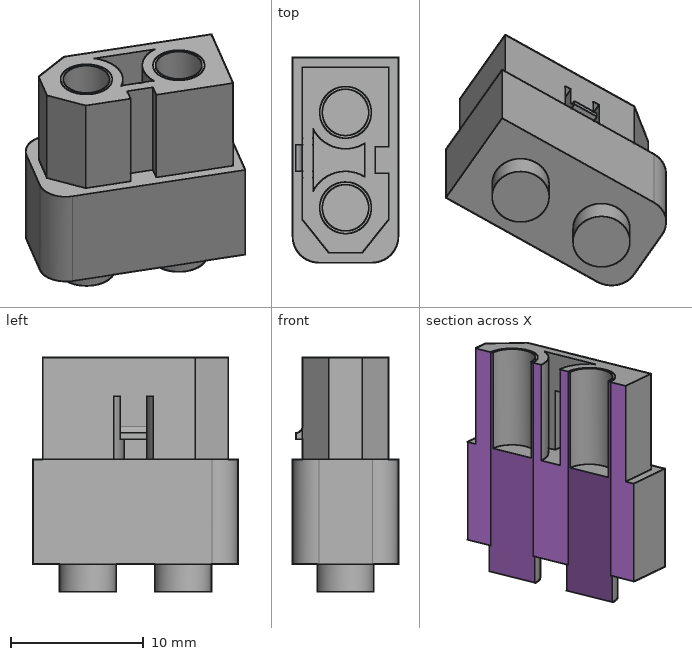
import cadquery as cq


base_width = 8.0
base_length = 15.5
base_height = 7.9
base_corner_radius = 2.0

plug_end_margin = 0.75
plug_width = 6.5
plug_length = base_length - 2 * plug_end_margin
plug_height = 7.7
nose_chamfer_x = 2.0
nose_chamfer_y = 2.5
keyway_depth = 1.0
keyway_width = 2.0

contact_pitch = 7.2
sleeve_diameter = 3.9
bore_diameter = 3.5
bore_depth = plug_height
tail_diameter = 4.3
tail_length = 2.1

wall = 0.8
contact_boss_radius = sleeve_diameter / 2 + wall
plug_left = -plug_width / 2
plug_right = plug_width / 2
pocket_left = plug_left + wall
pocket_right = plug_right - keyway_depth - wall

latch_center_y = 0.15
latch_width = 2.0
latch_slot_width = 0.5
window_width = latch_width + 2 * latch_slot_width
window_height = 4.75
latch_bottom = 1.5
barb_reach = 0.5
barb_lip_height = 0.5

contact_positions = [(0, -contact_pitch / 2), (0, contact_pitch / 2)]


def make_base():
    """Block with its two -Y vertical edges rounded."""
    block = cq.Workplane("XY").box(base_width, base_length, base_height, centered=(True, True, False))
    block = block.translate((0, 0, -base_height))
    return block.edges("|Z and <Y").fillet(base_corner_radius)


def make_plug():
    """Plug with a tapered -Y nose and a keyway along its +X side."""
    front = -plug_length / 2
    back = plug_length / 2
    plug = (
        cq.Workplane("XY")
        .moveTo(plug_left, back)
        .lineTo(plug_left, front + nose_chamfer_y)
        .lineTo(plug_left + nose_chamfer_x, front)
        .lineTo(plug_right - nose_chamfer_x, front)
        .lineTo(plug_right, front + nose_chamfer_y)
        .lineTo(plug_right, back)
        .close()
        .extrude(plug_height)
    )
    keyway = (
        cq.Workplane("XY")
        .center(plug_right - keyway_depth / 2, 0)
        .rect(keyway_depth, keyway_width)
        .extrude(plug_height)
    )
    return plug.cut(keyway)


def make_pocket():
    """Space between the contacts, bounded by a round boss about each one."""
    slab = (
        cq.Workplane("XY")
        .center((pocket_left + pocket_right) / 2, 0)
        .rect(pocket_right - pocket_left, contact_pitch)
        .extrude(plug_height)
    )
    bosses = cq.Workplane("XY").pushPoints(contact_positions).circle(contact_boss_radius).extrude(plug_height)
    return slab.cut(bosses)


def make_latch_window():
    """Opening through the -X wall into the pocket."""
    return (
        cq.Workplane("XY")
        .center(plug_left + wall / 2, latch_center_y)
        .rect(wall, window_width)
        .extrude(window_height)
    )


def make_latch():
    """Tongue as thick as the wall, with a barb whose upper side is a concave quarter round."""
    barb_tip = plug_left - barb_reach
    lip_top = latch_bottom + barb_lip_height
    barb_top = lip_top + barb_reach
    return (
        cq.Workplane("XZ", origin=(0, latch_center_y, 0))
        .moveTo(pocket_left, latch_bottom)
        .lineTo(barb_tip, latch_bottom)
        .lineTo(barb_tip, lip_top)
        .radiusArc((plug_left, barb_top), -barb_reach)
        .lineTo(plug_left, window_height)
        .lineTo(pocket_left, window_height)
        .close()
        .extrude(latch_width / 2, both=True)
    )


def make_housing():
    """Base, plug and latch as one solid, with a through hole for each contact."""
    contact_holes = (
        cq.Workplane("XY", origin=(0, 0, -base_height))
        .pushPoints(contact_positions)
        .circle(sleeve_diameter / 2)
        .extrude(base_height + plug_height)
    )
    plug = make_plug().cut(make_pocket()).cut(make_latch_window()).union(make_latch())
    return make_base().union(plug).cut(contact_holes)


def make_contact(position):
    """Socket sleeve flush with the plug top, with a thicker tail below the base."""
    x, y = position
    sleeve = (
        cq.Workplane("XY", origin=(x, y, -base_height))
        .circle(sleeve_diameter / 2)
        .extrude(base_height + plug_height)
    )
    tail = (
        cq.Workplane("XY", origin=(x, y, -base_height))
        .circle(tail_diameter / 2)
        .extrude(-tail_length)
    )
    bore = (
        cq.Workplane("XY", origin=(x, y, plug_height))
        .circle(bore_diameter / 2)
        .extrude(-bore_depth)
    )
    return sleeve.union(tail).cut(bore)


housing = make_housing()
contacts = [make_contact(position) for position in contact_positions]

result = cq.Compound.makeCompound([housing.val(), *[contact.val() for contact in contacts]])